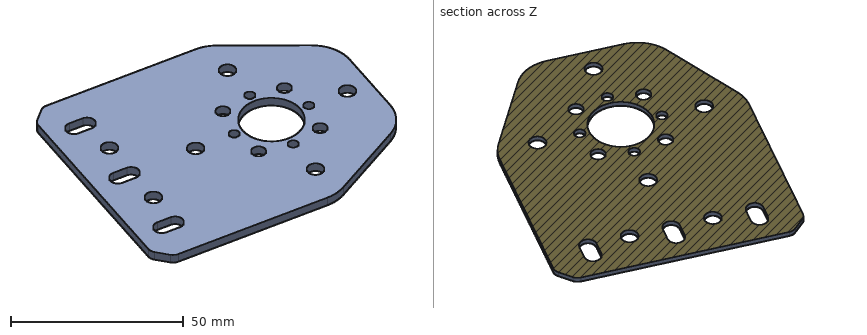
import cadquery as cq
import math

width = 76.2
height = 92.65
thickness = 3.0
half_width = width / 2

shoulder_angle = 30.0
shoulder_radius = 12.7
bottom_chamfer = 5.1
bottom_radius = 3.0

bore_y = 59.7
bore_diameter = 19.3
mount_diameter = 5.1
mount_pitch_radius = 25.4
small_diameter = 3.2
small_pitch_radius = 12.5
diagonal_diameter = 4.4
diagonal_pitch_radius = 14.5

slot_y = 10.5
slot_length = 9.5
row_hole_y = 12.8
slot_spacing = mount_pitch_radius
row_hole_offset = slot_spacing / 2


def round_corners(plate, low_y, high_y, radius):
    """Fillet the vertical edges lying between two Y heights."""
    margin = thickness
    region = cq.selectors.BoxSelector(
        (-width, low_y - margin, -margin), (width, high_y + margin, thickness + margin)
    )
    return plate.edges("|Z").edges(region).fillet(radius)


def make_plate():
    """Tapered plate with rounded shoulders and rounded bottom chamfers."""
    top_half_width = half_width - (height - bore_y) * math.tan(math.radians(shoulder_angle))
    bottom_half_width = half_width - bottom_chamfer
    right_side = [
        (bottom_half_width, 0),
        (half_width, bottom_chamfer),
        (half_width, bore_y),
        (top_half_width, height),
    ]
    left_side = [(-x, y) for x, y in reversed(right_side)]
    plate = cq.Workplane("XY").polyline(right_side + left_side).close().extrude(thickness)
    plate = round_corners(plate, bore_y - bore_diameter, height, shoulder_radius)
    return round_corners(plate, 0, bottom_chamfer, bottom_radius)


def cut_holes(body, points, diameter):
    """Drill through holes at the given XY points."""
    drills = cq.Workplane("XY").pushPoints(points).circle(diameter / 2).extrude(thickness)
    return body.cut(drills)


def ring_points(pitch_radius, start_angle):
    """Four equally spaced points on a circle around the bore."""
    angles = [math.radians(start_angle + 90 * i) for i in range(4)]
    return [(pitch_radius * math.cos(a), bore_y + pitch_radius * math.sin(a)) for a in angles]


def cut_slots(body):
    """Three through slots, long in Y."""
    points = [(i * slot_spacing, slot_y) for i in (-1, 0, 1)]
    slots = cq.Workplane("XY").pushPoints(points).slot2D(slot_length, mount_diameter, 90)
    return body.cut(slots.extrude(thickness))


result = make_plate()
result = cut_holes(result, [(0, bore_y)], bore_diameter)
result = cut_holes(result, ring_points(mount_pitch_radius, 0), mount_diameter)
result = cut_holes(result, ring_points(small_pitch_radius, 0), small_diameter)
result = cut_holes(result, ring_points(diagonal_pitch_radius, 45), diagonal_diameter)
row_points = [(side * row_hole_offset, row_hole_y) for side in (-1, 1)]
result = cut_holes(result, row_points, mount_diameter)
result = cut_slots(result)